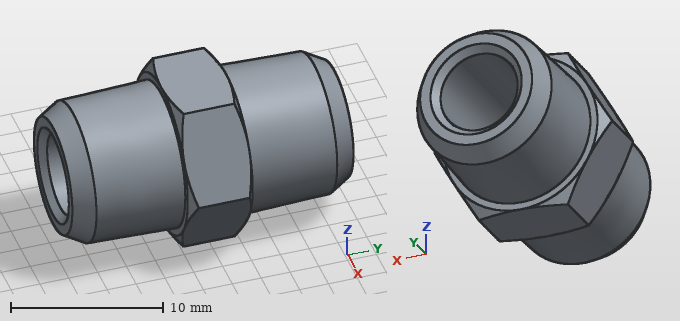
import cadquery as cq
import math

length = 19.5
across_flats = 11.0
hex_width = 4.5

root_radius = 5.0
taper = 1 / 16
tip_radius = 4.0
tip_chamfer_length = 1.4

bore_radius = 2.75
bore_mouth_radius = 3.25
bore_chamfer_depth = bore_mouth_radius - bore_radius

hex_chamfer_angle = math.radians(30)

half_length = length / 2
half_hex = hex_width / 2
across_corners = across_flats / math.cos(math.pi / 6)


def revolve_about_y(points):
    """Turn a closed (radius, y) outline fully around the Y axis."""
    return cq.Workplane("XY").polyline(points).close().revolve(360, (0, 0, 0), (0, 1, 0))


def make_hex():
    """Hexagon with corners on +X and -X, its corners chamfered on both faces."""
    prism = cq.Workplane("XZ").polygon(6, across_corners).extrude(half_hex, both=True)
    face_radius = across_flats / 2
    outer_radius = across_corners / 2 + 0.2
    drop = (outer_radius - face_radius) * math.tan(hex_chamfer_angle)
    envelope = revolve_about_y([
        (0, -half_hex),
        (face_radius, -half_hex),
        (outer_radius, -half_hex + drop),
        (outer_radius, half_hex - drop),
        (face_radius, half_hex),
        (0, half_hex),
    ])
    return prism.intersect(envelope)


def make_spigot(side):
    """Tapered spigot with a chamfered tip; side is +1 or -1 along Y."""
    taper_end = half_length - tip_chamfer_length
    taper_end_radius = root_radius - (taper_end - half_hex) * taper / 2
    return revolve_about_y([
        (0, 0),
        (root_radius, 0),
        (root_radius, side * half_hex),
        (taper_end_radius, side * taper_end),
        (tip_radius, side * half_length),
        (0, side * half_length),
    ])


def make_bore():
    """Through bore widening to a chamfer at both mouths."""
    chamfer_start = half_length - bore_chamfer_depth
    return revolve_about_y([
        (0, -half_length),
        (bore_mouth_radius, -half_length),
        (bore_radius, -chamfer_start),
        (bore_radius, chamfer_start),
        (bore_mouth_radius, half_length),
        (0, half_length),
    ])


body = make_hex()
for side in (-1, 1):
    body = body.union(make_spigot(side))

result = body.cut(make_bore())